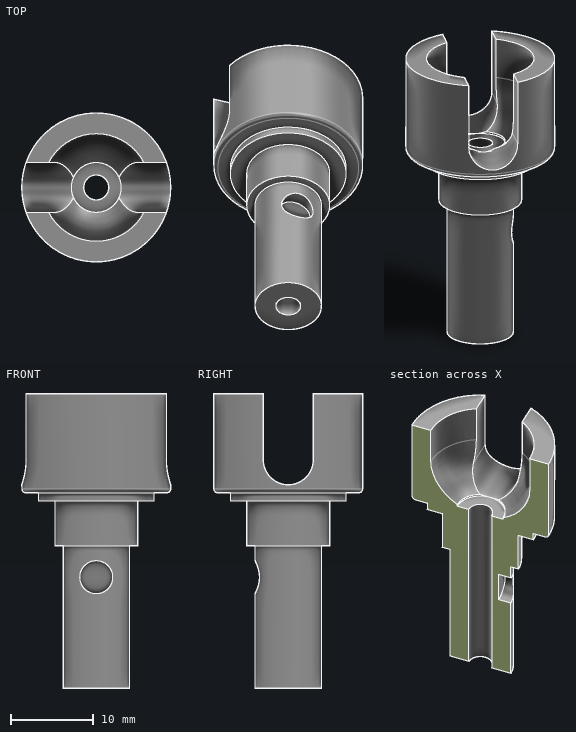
import cadquery as cq

total_height = 35.6
cup_diameter = 18.0
cup_height = 12.0
cup_edge_radius = 0.5
collar_diameter = 14.0
collar_height = 1.0
shoulder_diameter = 10.05
shoulder_height = 5.4
shaft_diameter = 8.05

bore_diameter = 13.0
bore_straight_depth = 5.0
floor_diameter = 6.0
cavity_depth = 11.0
axial_hole_diameter = 3.0

slot_width = 6.0
pin_hole_diameter = 4.0
pin_hole_depth = 1.6
pin_hole_height = 13.4

cup_bottom = total_height - cup_height
collar_bottom = cup_bottom - collar_height
shoulder_bottom = collar_bottom - shoulder_height
sphere_center_height = total_height - bore_straight_depth
floor_height = total_height - cavity_depth


def cylinder(diameter, bottom, top):
    """Vertical cylinder on the part axis between two levels."""
    return cq.Workplane("XY").workplane(offset=bottom).circle(diameter / 2).extrude(top - bottom)


def make_body():
    """Cup, collar, shoulder and shaft joined on one axis."""
    cup = cylinder(cup_diameter, cup_bottom, total_height).faces("<Z").edges().fillet(cup_edge_radius)
    collar = cylinder(collar_diameter, collar_bottom, cup_bottom)
    shoulder = cylinder(shoulder_diameter, shoulder_bottom, collar_bottom)
    shaft = cylinder(shaft_diameter, 0, shoulder_bottom)
    return cup.union(collar).union(shoulder).union(shaft)


def make_cavity():
    """Straight bore ending in a spherical bowl with a small flat floor."""
    bore = cylinder(bore_diameter, sphere_center_height, total_height)
    ball = cq.Workplane("XY").sphere(bore_diameter / 2).translate((0, 0, sphere_center_height))
    bowl = ball.intersect(cylinder(cup_diameter, floor_height, total_height))
    floor_recess = cylinder(floor_diameter, floor_height, sphere_center_height)
    return bore.union(bowl).union(floor_recess)


def make_slot():
    """Round-bottomed slot crossing the cup along X, level with the cavity floor."""
    arc_center_height = floor_height + slot_width / 2
    return (
        cq.Workplane("YZ")
        .moveTo(-slot_width / 2, total_height)
        .lineTo(-slot_width / 2, arc_center_height)
        .threePointArc((0, floor_height), (slot_width / 2, arc_center_height))
        .lineTo(slot_width / 2, total_height)
        .close()
        .extrude(cup_diameter, both=True)
    )


def make_pin_hole():
    """Flat-bottomed hole entering the shaft from the -Y side."""
    bottom_y = -shaft_diameter / 2 + pin_hole_depth
    return (
        cq.Workplane("XZ", origin=(0, bottom_y, pin_hole_height))
        .circle(pin_hole_diameter / 2)
        .extrude(shaft_diameter)
    )


axial_hole = cylinder(axial_hole_diameter, 0, total_height)
result = make_body().cut(make_cavity()).cut(make_slot()).cut(axial_hole).cut(make_pin_hole())